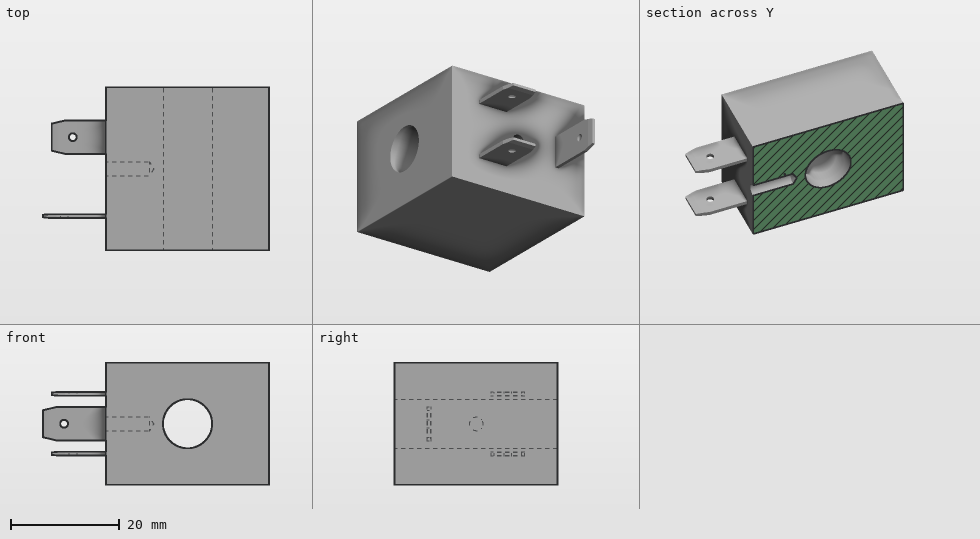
import cadquery as cq
import math

BODY_LENGTH = 30.0
BODY_WIDTH = 30.0
BODY_HEIGHT = 22.5
BODY_EDGE_RADIUS = 0.1
CORE_BORE_DIAMETER = 9.0

SCREW_HOLE_DIAMETER = 2.5
SCREW_HOLE_DEPTH = 8.0
DRILL_POINT_ANGLE = 118.0

BLADE_WIDTH = 6.2
BLADE_THICKNESS = 0.75
BLADE_TIP_WIDTH = 5.0
BLADE_TAPER_LENGTH = 2.5
BLADE_TIP_THICKNESS = 0.5
BLADE_BEVEL_LENGTH = 1.25
BLADE_HOLE_DIAMETER = 1.4
BLADE_HOLE_FROM_TIP = 3.9

CONTACT_REACH = 10.0
CONTACT_Y = 5.8
CONTACT_Z = 5.5
EARTH_REACH = 11.6
EARTH_Y = -8.7

TERMINAL_FACE_X = -BODY_LENGTH / 2


def make_body():
    """Block with the core bore along Y, all edges broken except those of the terminal face."""
    block = (
        cq.Workplane("XY")
        .box(BODY_LENGTH, BODY_WIDTH, BODY_HEIGHT)
        .edges("not <X")
        .fillet(BODY_EDGE_RADIUS)
    )
    bore = (
        cq.Workplane("XZ")
        .circle(CORE_BORE_DIAMETER / 2)
        .extrude(BODY_WIDTH / 2, both=True)
    )
    return block.cut(bore)


def make_screw_hole():
    """Drilled hole with a conical bottom, revolved about the X axis."""
    radius = SCREW_HOLE_DIAMETER / 2
    point_length = radius / math.tan(math.radians(DRILL_POINT_ANGLE / 2))
    shoulder_x = TERMINAL_FACE_X + SCREW_HOLE_DEPTH
    return (
        cq.Workplane("XY")
        .moveTo(TERMINAL_FACE_X, 0)
        .lineTo(TERMINAL_FACE_X, radius)
        .lineTo(shoulder_x, radius)
        .lineTo(shoulder_x + point_length, 0)
        .close()
        .revolve(360, (0, 0, 0), (1, 0, 0))
    )


def tapered_outline(plane, reach, root_width, tip_width, taper_length):
    """Symmetric strip from the terminal face, narrowing over its last stretch."""
    tip_x = TERMINAL_FACE_X - reach
    taper_x = tip_x + taper_length
    return (
        cq.Workplane(plane)
        .moveTo(TERMINAL_FACE_X, root_width / 2)
        .lineTo(taper_x, root_width / 2)
        .lineTo(tip_x, tip_width / 2)
        .lineTo(tip_x, -tip_width / 2)
        .lineTo(taper_x, -root_width / 2)
        .lineTo(TERMINAL_FACE_X, -root_width / 2)
        .close()
    )


def make_blade(reach):
    """Blade lying flat in the XY plane, tapered in width and bevelled at the tip."""
    flat_shape = tapered_outline(
        "XY", reach, BLADE_WIDTH, BLADE_TIP_WIDTH, BLADE_TAPER_LENGTH
    ).extrude(BLADE_THICKNESS / 2, both=True)
    side_shape = tapered_outline(
        "XZ", reach, BLADE_THICKNESS, BLADE_TIP_THICKNESS, BLADE_BEVEL_LENGTH
    ).extrude(BLADE_WIDTH / 2, both=True)
    hole = (
        cq.Workplane("XY")
        .center(TERMINAL_FACE_X - reach + BLADE_HOLE_FROM_TIP, 0)
        .circle(BLADE_HOLE_DIAMETER / 2)
        .extrude(BLADE_THICKNESS / 2, both=True)
    )
    return flat_shape.intersect(side_shape).cut(hole)


result = make_body().cut(make_screw_hole())

for side in (1, -1):
    contact = make_blade(CONTACT_REACH).translate((0, CONTACT_Y, side * CONTACT_Z))
    result = result.union(contact)

earth = make_blade(EARTH_REACH).rotate((0, 0, 0), (1, 0, 0), 90).translate((0, EARTH_Y, 0))
result = result.union(earth)